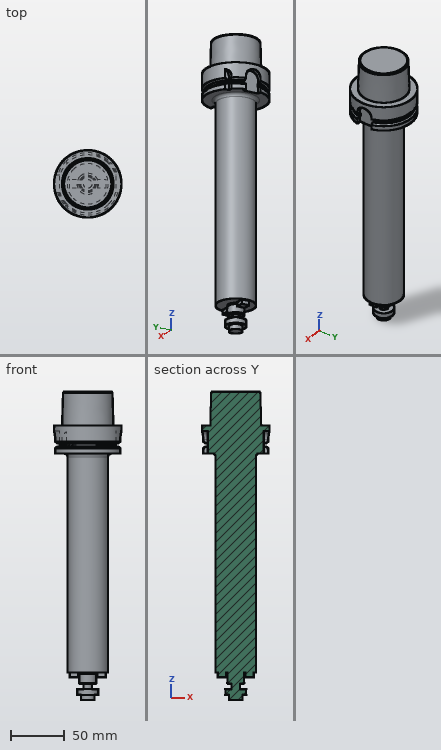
import cadquery as cq
import math

TOTAL_HEIGHT = 288.0
FLANGE_TOP = 256.3
GROOVE_TOP = 241.3
GROOVE_LIP_TOP = 239.5
GROOVE_LIP_BOTTOM = 236.7
GROOVE_BOTTOM = 235.0
FLANGE_BOTTOM = 230.0
BODY_BOTTOM = 25.5
RELIEF_BOTTOM = 24.2
KEY_BOTTOM = 21.3
PILOT_BOTTOM = 15.3
SCREW_HEAD_TOP = 10.5
SCREW_HEAD_BOTTOM = 5.0

SHANK_TOP_DIAMETER = 46.5
SHANK_BASE_DIAMETER = 48.0
FLANGE_DIAMETER = 63.0
GROOVE_LIP_DIAMETER = 58.5
GROOVE_DIAMETER = 54.5
BODY_DIAMETER = 38.0
PILOT_DIAMETER = 16.0
RELIEF_DIAMETER = 15.5
SCREW_NECK_DIAMETER = 8.0
SCREW_HEAD_DIAMETER = 20.0
SCREW_TIP_DIAMETER = 13.0

SHANK_CHAMFER = 1.2
GROOVE_FILLET = 1.0
BODY_FILLET = 3.2
PILOT_CHAMFER = 1.0

SLOT_WIDTH = 16.0
SLOT_ARC_HEIGHT = 243.0
DRIVE_SLOT_FLOOR = 26.2
SIDE_SLOT_FLOOR = 20.0
SIDE_SLOT_OFFSET = 28.2

KEY_INNER_X = 9.0
KEY_OUTER_X = 17.0
KEY_WIDTH = 8.0


def turned_body():
    """Revolve the complete half profile about the Z axis."""
    shank_top = SHANK_TOP_DIAMETER / 2
    flange = FLANGE_DIAMETER / 2
    groove_lip = GROOVE_LIP_DIAMETER / 2
    groove = GROOVE_DIAMETER / 2
    body = BODY_DIAMETER / 2
    pilot = PILOT_DIAMETER / 2
    relief = RELIEF_DIAMETER / 2
    neck = SCREW_NECK_DIAMETER / 2
    head = SCREW_HEAD_DIAMETER / 2
    tip = SCREW_TIP_DIAMETER / 2
    groove_arc_offset = GROOVE_FILLET * (1 - math.sqrt(0.5))
    body_arc_offset = BODY_FILLET * (1 - math.sqrt(0.5))
    profile = (
        cq.Workplane("XZ")
        .moveTo(0, TOTAL_HEIGHT)
        .lineTo(shank_top - SHANK_CHAMFER, TOTAL_HEIGHT)
        .lineTo(shank_top, TOTAL_HEIGHT - SHANK_CHAMFER)
        .lineTo(SHANK_BASE_DIAMETER / 2, FLANGE_TOP)
        .lineTo(flange, FLANGE_TOP)
        .lineTo(flange, GROOVE_TOP)
        .lineTo(groove_lip, GROOVE_LIP_TOP)
        .lineTo(groove + GROOVE_FILLET, GROOVE_LIP_TOP)
        .threePointArc(
            (groove + groove_arc_offset, GROOVE_LIP_TOP - groove_arc_offset),
            (groove, GROOVE_LIP_TOP - GROOVE_FILLET),
        )
        .lineTo(groove, GROOVE_LIP_BOTTOM + GROOVE_FILLET)
        .threePointArc(
            (groove + groove_arc_offset, GROOVE_LIP_BOTTOM + groove_arc_offset),
            (groove + GROOVE_FILLET, GROOVE_LIP_BOTTOM),
        )
        .lineTo(groove_lip, GROOVE_LIP_BOTTOM)
        .lineTo(flange, GROOVE_BOTTOM)
        .lineTo(flange, FLANGE_BOTTOM)
        .lineTo(body + BODY_FILLET, FLANGE_BOTTOM)
        .threePointArc(
            (body + body_arc_offset, FLANGE_BOTTOM - body_arc_offset),
            (body, FLANGE_BOTTOM - BODY_FILLET),
        )
        .lineTo(body, BODY_BOTTOM)
        .lineTo(relief, BODY_BOTTOM)
        .lineTo(relief, RELIEF_BOTTOM)
        .lineTo(pilot, RELIEF_BOTTOM)
        .lineTo(pilot, PILOT_BOTTOM + PILOT_CHAMFER)
        .lineTo(pilot - PILOT_CHAMFER, PILOT_BOTTOM)
        .lineTo(neck, PILOT_BOTTOM)
        .lineTo(neck, SCREW_HEAD_TOP)
        .lineTo(head, SCREW_HEAD_TOP)
        .lineTo(head, SCREW_HEAD_BOTTOM)
        .lineTo(tip, SCREW_HEAD_BOTTOM)
        .lineTo(tip, 0)
        .lineTo(0, 0)
        .close()
    )
    return profile.revolve(360, (0, 0, 0), (0, 1, 0))


def flange_slot(side, floor, center_y):
    """Slot cutter on the +X (side=1) or -X (side=-1) flank, open at the flange bottom."""
    radius = SLOT_WIDTH / 2
    return (
        cq.Workplane("YZ", origin=(side * floor, center_y, 0))
        .moveTo(-radius, FLANGE_BOTTOM)
        .lineTo(-radius, SLOT_ARC_HEIGHT)
        .threePointArc((0, SLOT_ARC_HEIGHT + radius), (radius, SLOT_ARC_HEIGHT))
        .lineTo(radius, FLANGE_BOTTOM)
        .close()
        .extrude(side * FLANGE_DIAMETER / 2)
    )


def drive_key(side):
    """Rectangular key under the body on the +X or -X side."""
    length = KEY_OUTER_X - KEY_INNER_X
    center_x = side * (KEY_INNER_X + KEY_OUTER_X) / 2
    return (
        cq.Workplane("XY", origin=(center_x, 0, KEY_BOTTOM))
        .rect(length, KEY_WIDTH)
        .extrude(BODY_BOTTOM - KEY_BOTTOM)
    )


result = turned_body()
for side in (-1, 1):
    result = result.cut(flange_slot(side, DRIVE_SLOT_FLOOR, 0))
    result = result.union(drive_key(side))
result = result.cut(flange_slot(-1, SIDE_SLOT_FLOOR, SIDE_SLOT_OFFSET))